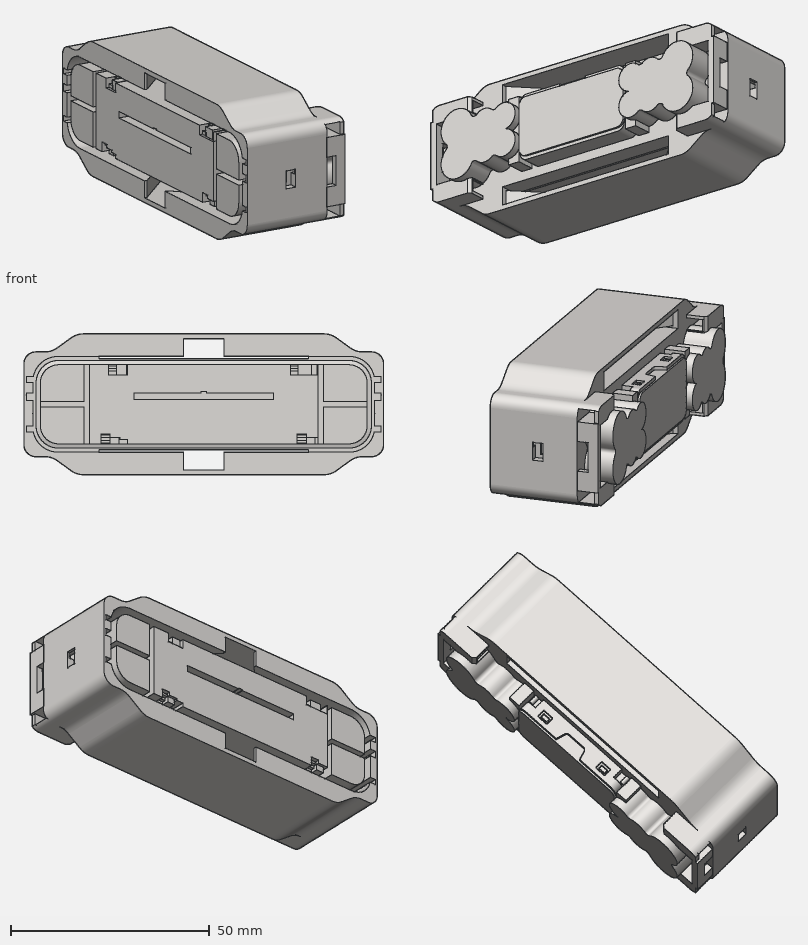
import cadquery as cq
import math


LENGTH = 90.5
HEIGHT = 35.5
SHELL_DEPTH = 23.4
END_HEIGHT = 26.4
CROWN_HALF_LENGTH = 31.95
SHOULDER_HALF_LENGTH = 38.2
SHOULDER_RADIUS = 5.25
END_CORNER_RADIUS = 3.1

CAVITY_LENGTH = 86.0
CAVITY_HEIGHT = 24.1
CAVITY_RADIUS = 6.3
CAVITY_DEPTH = 18.1
PLUG_LENGTH = 82.2
PLUG_HEIGHT = 19.9
PLUG_RADIUS = 4.6
PLUG_STEP_Y = 16.3
PLUG_STEP_WIDTH = 1.1
PLUG_STEP_DROP = 0.3
SLIT_LENGTH = 52.7
SLIT_WIDTH = 0.5
LATCH_WINDOW_WIDTH = 10.1
CROWN_WALL = 1.3
FRONT_WALL = 0.8

KEY_BANDS = [(5.5, 7.0), (0.9, 2.9), (-7.0, -5.5)]
KEY_WALL = 0.6
SIDE_HOLE_Y = 11.4
SIDE_HOLE_WIDTH = 2.8
SIDE_HOLE_HEIGHT = 4.7
SIDE_HOLE_STEP = 0.3
SIDE_HOLE_PLUG_DEPTH = 0.9

PANEL_HALF_LENGTH = 28.8
GROOVE_WIDTH = 1.4
GROOVE_DEPTH = 4.5
FACE_SLOT_LENGTH = 35.1
FACE_SLOT_BOTTOM = 1.2
FACE_SLOT_TOP = 2.9
FACE_SLOT_NOTCH_WIDTH = 1.3
FACE_SLOT_NOTCH_HEIGHT = 0.3
LOCK_DEPTH = 3.6
LOCK_BLOCK_SETBACK = 0.7
UPPER_LOCK_FLOOR = 7.4
LOWER_LOCK_TIP = -7.4
LOWER_LOCK_FLOOR = -8.3
LOWER_RELIEF_FLOOR = -8.9
UPPER_LOCKS = [(-23.9, -22.0, -19.5, -19.2), (21.8, 23.7, 27.1, 28.5)]
LOWER_LOCKS = [(-25.9, -23.5, -21.4, -21.1), (23.4, 25.8, 28.0, 28.8)]
UPPER_STAIR = [UPPER_LOCK_FLOOR, 8.3, 9.05, 9.7]
LOWER_STAIR = [-7.7, LOWER_LOCK_FLOOR, -9.05, -9.7]

EAR_END_Y = 28.9
EAR_OUTER_X = 44.3
EAR_INNER_X = 32.5
EAR_WALL = 0.8
EAR_CHAMFER = 0.8
EAR_BACK_WALL = 1.2
END_PLATE_X = 45.0
END_PLATE_THICKNESS = 1.8
END_PLATE_HEIGHT = 18.3
END_NOTCH_HEIGHT = 7.9
END_NOTCH_DEPTH = 2.8

DEPTH = 31.0
LARGE_CABLE_RADIUS = 5.1
LARGE_CABLE_X = 34.9
LARGE_CABLE_Z = 4.4
SMALL_CABLE_RADIUS = 3.7
OUTER_SMALL_X = 26.2
INNER_SMALL_X = 20.2
SMALL_CABLE_Z = 3.6
CABLE_VALLEY_RADIUS = 1.0
POSITION_TOLERANCE = 0.1
CABLE_BLOCK_INNER_X = 16.9

DECK_LENGTH = 33.1
DECK_HEIGHT = 17.9
DECK_CORNER_RADIUS = 2.1
DECK_RIM = 0.5
DECK_LIP = 0.9
DECK_NOTCH_TOP_WIDTH = 8.1
DECK_NOTCH_FLOOR_WIDTH = 6.3
DECK_NOTCH_DEPTH = 3.1
DECK_NOTCH_RADIUS = 0.7
DECK_WINDOW_X = 10.05
DECK_WINDOW_Y = 26.5
DECK_WINDOW_WIDTH = 3.1
DECK_WINDOW_HEIGHT = 2.2
DECK_WINDOW_DEPTH = 0.5
DECK_WINDOW_FRAME = 0.5
CORNER_POCKET_X = 13.6
CORNER_POCKET_LENGTH = 3.0
CORNER_POCKET_HEIGHT = 2.3
CORNER_PIN_X = 15.75
CORNER_PIN_RADIUS = 0.6
CORNER_PIN_LENGTH = 2.35


def block(x, y, z):
    """Box spanning the (low, high) pairs of the three axes."""
    size = [high - low for low, high in (x, y, z)]
    return cq.Workplane("XY").box(*size, centered=False).translate((x[0], y[0], z[0]))


def section(y):
    """Sketch plane parallel to XZ at the given Y; extrude by a negative amount to go towards +Y."""
    return cq.Workplane("XZ", origin=(0, y, 0))


def rounded_bar(length, height, radius, y_start, y_end):
    """Bar along Y with a rounded rectangular section."""
    bar = section(y_start).rect(length, height).extrude(y_start - y_end)
    return bar.edges("|Y").fillet(radius)


def round_bar(x, z, radius, y_start, y_end):
    """Round bar along Y."""
    return section(y_start).center(x, z).circle(radius).extrude(y_start - y_end)


def both_ends(solid):
    """The solid joined with its mirror image on the other X side."""
    return solid.union(solid.mirror("YZ"))


def shell_profile(y_start, y_end):
    """Solid bar along Y with the outline of the shell."""
    half_length, half_height, half_end = LENGTH / 2, HEIGHT / 2, END_HEIGHT / 2
    quarter = [
        (CROWN_HALF_LENGTH, half_height),
        (SHOULDER_HALF_LENGTH, half_end),
        (half_length, half_end),
    ]
    right = quarter + [(x, -z) for x, z in reversed(quarter)]
    outline = right + [(-x, z) for x, z in reversed(right)]
    profile = section(y_start).polyline(outline).close().extrude(y_start - y_end)
    profile = profile.edges("|Y and (not (<X or >X))").fillet(SHOULDER_RADIUS)
    return profile.edges("|Y and (<X or >X)").fillet(END_CORNER_RADIUS)


def make_latch_hollow():
    """Space under the crown that widens at 45 degrees from the latch window to the slit ends."""
    half_slit, half_window = SLIT_LENGTH / 2, LATCH_WINDOW_WIDTH / 2
    flare_end_y = FRONT_WALL + half_slit - half_window
    bottom, top = CAVITY_HEIGHT / 2, HEIGHT / 2 - CROWN_WALL
    right = [(half_window, FRONT_WALL), (half_slit, flare_end_y), (half_slit, SHELL_DEPTH)]
    plan = right + [(-x, y) for x, y in reversed(right)]
    return cq.Workplane("XY", origin=(0, 0, bottom)).polyline(plan).close().extrude(top - bottom)


def make_shell():
    """Shell with its front cavity, latch windows, slits and key grooves."""
    half_length, half_height = LENGTH / 2, HEIGHT / 2
    shell = shell_profile(0, SHELL_DEPTH)
    shell = shell.cut(rounded_bar(CAVITY_LENGTH, CAVITY_HEIGHT, CAVITY_RADIUS, 0, CAVITY_DEPTH))
    cavity_top = CAVITY_HEIGHT / 2
    half_slit, half_window = SLIT_LENGTH / 2, LATCH_WINDOW_WIDTH / 2
    slit = block((-half_slit, half_slit), (0, SHELL_DEPTH), (cavity_top - SLIT_WIDTH, cavity_top))
    window = block((-half_window, half_window), (0, FRONT_WALL), (cavity_top, half_height - CROWN_WALL))
    latch_space = slit.union(window).union(make_latch_hollow())
    shell = shell.cut(latch_space).cut(latch_space.mirror("XY"))

    for low, high in KEY_BANDS:
        reach = (CAVITY_LENGTH / 2 - CAVITY_RADIUS, half_length - KEY_WALL)
        shell = shell.cut(both_ends(block(reach, (0, CAVITY_DEPTH), (low, high))))
    return shell


def make_plug_step():
    """Step round the plug near the cavity floor, its front falling away slightly towards the outside."""
    outer_length, outer_height = PLUG_LENGTH + 2 * PLUG_STEP_WIDTH, PLUG_HEIGHT + 2 * PLUG_STEP_WIDTH
    outer_radius = PLUG_RADIUS + PLUG_STEP_WIDTH
    rim_y = PLUG_STEP_Y + PLUG_STEP_DROP
    step = rounded_bar(outer_length, outer_height, outer_radius, rim_y, CAVITY_DEPTH)
    slope = (
        section(rim_y)
        .sketch()
        .rect(outer_length, outer_height)
        .vertices()
        .fillet(outer_radius)
        .finalize()
        .extrude(PLUG_STEP_DROP, taper=math.degrees(math.atan2(PLUG_STEP_WIDTH, PLUG_STEP_DROP)))
    )
    return step.union(slope)


def make_plug():
    """Plug whose face is divided by grooves into a centre panel and four corner pads."""
    plug = rounded_bar(PLUG_LENGTH, PLUG_HEIGHT, PLUG_RADIUS, 0, CAVITY_DEPTH)
    plug = plug.union(make_plug_step())

    half_groove = GROOVE_WIDTH / 2
    groove_y = (0, GROOVE_DEPTH)
    upright = block(
        (PANEL_HALF_LENGTH, PANEL_HALF_LENGTH + GROOVE_WIDTH),
        groove_y,
        (-PLUG_HEIGHT / 2, PLUG_HEIGHT / 2),
    )
    level = block((PANEL_HALF_LENGTH, PLUG_LENGTH / 2), groove_y, (-half_groove, half_groove))
    plug = plug.cut(both_ends(upright.union(level)))

    half_slot, half_notch = FACE_SLOT_LENGTH / 2, FACE_SLOT_NOTCH_WIDTH / 2
    notch_top = FACE_SLOT_TOP + FACE_SLOT_NOTCH_HEIGHT
    plug = plug.cut(block((-half_slot, half_slot), groove_y, (FACE_SLOT_BOTTOM, FACE_SLOT_TOP)))
    return plug.cut(block((-half_notch, half_notch), groove_y, (FACE_SLOT_TOP, notch_top)))


def add_stair(plug, x, levels):
    """Stair across a lock recess: each step lies between two Z levels and is set back further."""
    tread = LOCK_DEPTH / len(levels)
    for step, (start, end) in enumerate(zip(levels, levels[1:])):
        plug = plug.union(block(x, ((step + 1) * tread, LOCK_DEPTH), (min(start, end), max(start, end))))
    return plug


def cut_locks(plug):
    """Lock recesses along the top and bottom of the plug face, each with a set-back block."""
    top = PLUG_HEIGHT / 2
    recess_y = (0, LOCK_DEPTH)
    block_y = (LOCK_BLOCK_SETBACK, LOCK_DEPTH)
    for start, block_start, block_end, end in UPPER_LOCKS:
        plug = plug.cut(block((start, end), recess_y, (UPPER_LOCK_FLOOR, top)))
        plug = plug.union(block((block_start, block_end), block_y, (UPPER_LOCK_FLOOR, top)))
        plug = add_stair(plug, (start, block_start), UPPER_STAIR)
    for start, block_start, block_end, end in LOWER_LOCKS:
        plug = plug.cut(block((start, block_start), recess_y, (-top, LOWER_LOCK_TIP)))
        plug = plug.cut(block((block_start, end), recess_y, (-top, LOWER_LOCK_FLOOR)))
        plug = plug.union(block((block_start, block_end), block_y, (-top, LOWER_LOCK_FLOOR)))
        plug = add_stair(plug, (start, block_start), LOWER_STAIR)
    relief_x = (LOWER_LOCKS[0][-1], UPPER_LOCKS[0][-1])
    return plug.cut(block(relief_x, recess_y, (-top, LOWER_RELIEF_FLOOR)))


def cut_side_holes(body):
    """Hole through each end wall, facing a smaller recess in the plug."""
    half_hole = SIDE_HOLE_HEIGHT / 2
    half_floor = half_hole - SIDE_HOLE_STEP
    hole_y = (SIDE_HOLE_Y, SIDE_HOLE_Y + SIDE_HOLE_WIDTH)
    floor_y = (hole_y[0] + 2 * SIDE_HOLE_STEP, hole_y[1] - SIDE_HOLE_STEP)
    outer = block((CAVITY_LENGTH / 2, LENGTH / 2), hole_y, (-half_hole, half_hole))
    recess_x = (PLUG_LENGTH / 2 - SIDE_HOLE_PLUG_DEPTH, PLUG_LENGTH / 2)
    inner = block(recess_x, floor_y, (-half_floor, half_floor))
    return body.cut(both_ends(outer.union(inner)))


def make_ear():
    """Hood behind the +X end of the shell, with a channel along X above and below its middle."""
    half_end, half_plate, half_notch = END_HEIGHT / 2, END_PLATE_HEIGHT / 2, END_NOTCH_HEIGHT / 2
    ear_y = (SHELL_DEPTH, EAR_END_Y)
    envelope = block((EAR_INNER_X, EAR_OUTER_X), ear_y, (-half_end, half_end))
    envelope = envelope.edges("|Z and <X and >Y").chamfer(EAR_CHAMFER)
    ear = shell_profile(*ear_y).intersect(envelope)

    channel_z = (half_plate, half_end - EAR_WALL)
    channel = block((EAR_INNER_X, EAR_OUTER_X), (SHELL_DEPTH, EAR_END_Y - EAR_BACK_WALL), channel_z)
    ear = ear.cut(channel).cut(channel.mirror("XY"))
    inner_z = half_plate - EAR_WALL
    inner_x = END_PLATE_X - END_PLATE_THICKNESS
    ear = ear.cut(block((EAR_INNER_X, inner_x), ear_y, (-inner_z, inner_z)))

    plate_x = (inner_x, END_PLATE_X)
    ear = ear.union(block(plate_x, ear_y, (-half_plate, half_plate)))
    notch_y = (SHELL_DEPTH, SHELL_DEPTH + END_NOTCH_DEPTH)
    return ear.cut(block(plate_x, notch_y, (-half_notch, half_notch)))


def make_cables():
    """Two rows of one large and two small cable outlets on the +X side, with rounded valleys."""
    rear_y = (SHELL_DEPTH, DEPTH)
    cables = block((INNER_SMALL_X, LARGE_CABLE_X), rear_y, (-SMALL_CABLE_Z, SMALL_CABLE_Z))
    for side in (-1, 1):
        large = round_bar(LARGE_CABLE_X, side * LARGE_CABLE_Z, LARGE_CABLE_RADIUS, *rear_y)
        cables = cables.union(large)
        for x in (OUTER_SMALL_X, INNER_SMALL_X):
            cables = cables.union(round_bar(x, side * SMALL_CABLE_Z, SMALL_CABLE_RADIUS, *rear_y))

    def is_valley(edge):
        height = abs(edge.Center().z)
        beyond_axes = height > SMALL_CABLE_Z + POSITION_TOLERANCE
        between_large_pair = height < POSITION_TOLERANCE and edge.Center().x > LARGE_CABLE_X
        return beyond_axes or between_large_pair

    upright = cables.edges("|Y")
    cables = upright.newObject(list(filter(is_valley, upright.vals()))).fillet(CABLE_VALLEY_RADIUS)

    half_deck = DECK_HEIGHT / 2
    block_x = (CABLE_BLOCK_INNER_X, INNER_SMALL_X)
    return cables.union(block(block_x, (SHELL_DEPTH, EAR_END_Y), (-half_deck, half_deck)))


def make_deck():
    """Raised body between the cable bundles."""
    top = DECK_HEIGHT / 2
    lip_z = top - DECK_LIP
    rim_y = EAR_END_Y + DECK_RIM
    deck = rounded_bar(DECK_LENGTH, DECK_HEIGHT, DECK_CORNER_RADIUS, SHELL_DEPTH, EAR_END_Y)
    deck = deck.union(rounded_bar(DECK_LENGTH, 2 * lip_z, DECK_CORNER_RADIUS, SHELL_DEPTH, rim_y))

    half_top, half_floor = DECK_NOTCH_TOP_WIDTH / 2, DECK_NOTCH_FLOOR_WIDTH / 2
    floor_y = EAR_END_Y - DECK_NOTCH_DEPTH
    right = [(half_floor, floor_y), (half_top, EAR_END_Y)]
    notch = (
        cq.Workplane("XY", origin=(0, 0, lip_z))
        .polyline(right + [(-x, y) for x, y in reversed(right)])
        .close()
        .extrude(DECK_LIP)
        .edges("|Z and <Y")
        .fillet(DECK_NOTCH_RADIUS)
    )
    deck = deck.cut(notch)

    for x in (-DECK_WINDOW_X, DECK_WINDOW_X):
        frame = cq.Workplane("XY", origin=(x, DECK_WINDOW_Y, top))
        deck = deck.cut(frame.rect(DECK_WINDOW_WIDTH, DECK_WINDOW_HEIGHT).extrude(-DECK_WINDOW_DEPTH))
        inner_width = DECK_WINDOW_WIDTH - 2 * DECK_WINDOW_FRAME
        inner_height = DECK_WINDOW_HEIGHT - 2 * DECK_WINDOW_FRAME
        deck = deck.cut(frame.rect(inner_width, inner_height).extrude(-2 * DECK_WINDOW_DEPTH))

    pocket_y = (SHELL_DEPTH, SHELL_DEPTH + CORNER_POCKET_LENGTH)
    pocket = block((CORNER_POCKET_X, DECK_LENGTH / 2), pocket_y, (top - CORNER_POCKET_HEIGHT, top))
    pin_z = top - CORNER_POCKET_HEIGHT
    pin = round_bar(CORNER_PIN_X, pin_z, CORNER_PIN_RADIUS, SHELL_DEPTH, SHELL_DEPTH + CORNER_PIN_LENGTH)
    return deck.cut(both_ends(pocket)).union(both_ends(pin))


front = cut_side_holes(make_shell().union(cut_locks(make_plug())))
rear = both_ends(make_ear()).union(both_ends(make_cables())).union(make_deck())
result = front.union(rear)